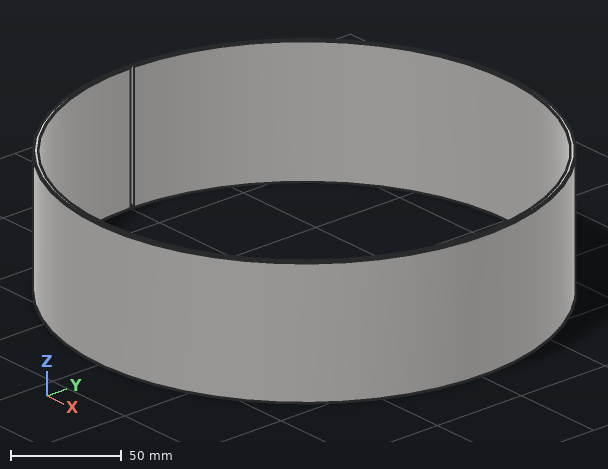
import cadquery as cq

outer_diameter = 245.0
wall_thickness = 2.5
band_height = 70.0
outer_chamfer = 0.5
inner_chamfer = 0.2
gap_angle = 1.0

outer_radius = outer_diameter / 2
inner_radius = outer_radius - wall_thickness


def make_wall_section():
    """Chamfered wall cross-section in the XZ plane, on the -X side of the axis."""
    section_points = [
        (-outer_radius, outer_chamfer),
        (-outer_radius, band_height - outer_chamfer),
        (-outer_radius + outer_chamfer, band_height),
        (-inner_radius - inner_chamfer, band_height),
        (-inner_radius, band_height - inner_chamfer),
        (-inner_radius, inner_chamfer),
        (-inner_radius - inner_chamfer, 0),
        (-outer_radius + outer_chamfer, 0),
    ]
    return cq.Workplane("XZ").polyline(section_points).close()


def make_split_band():
    """Sweep the section from -X through -Y, +X and +Y, stopping short of a full turn."""
    axis_start = (0, 0, 0)
    axis_end = (0, 1, 0)
    return make_wall_section().revolve(360 - gap_angle, axis_start, axis_end)


result = make_split_band()